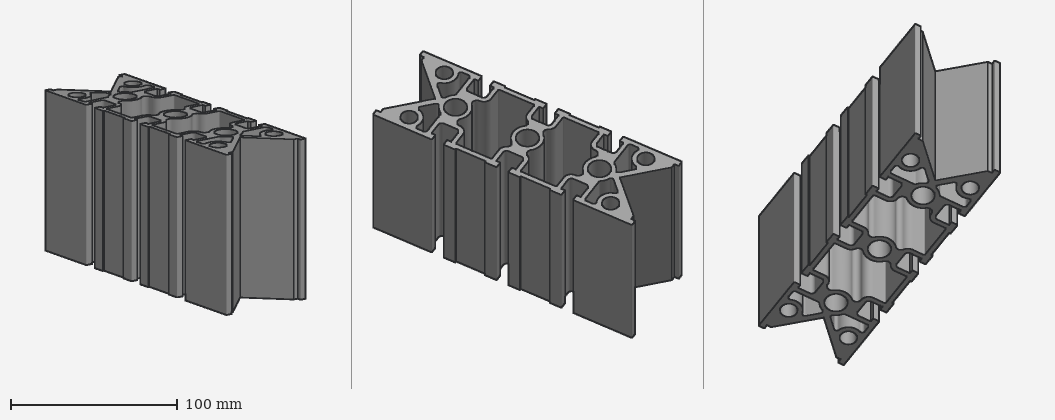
import cadquery as cq
import math

WIDTH = 180.0
HEIGHT = 60.0
LENGTH = 100.0
HALF_WIDTH = WIDTH / 2
HALF_HEIGHT = HEIGHT / 2

EDGE_RADIUS = 0.4

SLOT_PITCH = 45.0
SLOT_OPENING = 8.1
SLOT_INNER_WIDTH = 13.6
SLOT_DEPTH = 15.0
SLOT_FLOOR_RADIUS = 2.4
SLOT_BEND_RADIUS = 5.2
LIP_THICKNESS = 4.4
WALL = 3.2

RECESS_WIDTH = 20.6
RECESS_DEPTH = 1.0

CORE_BORE_DIAMETER = 14.0
CORE_BORE_X = 50.0
CORE_RING_RADIUS = 10.0
CORNER_BORE_DIAMETER = 10.52
CORNER_BORE_X = 70.0
CORNER_BORE_Y = 21.0
CORNER_RING_RADIUS = 8.5

NOTCH_APEX_X = 64.1
TAB_LENGTH = 3.0
TAB_THICKNESS = 4.1

CAVITY_CORNER_RADIUS = 0.8
CAVITY_BLEND_RADIUS = 3.1

POCKET_TOP_Y = 26.7
POCKET_NOTCH_WALL = 4.0
POCKET_RADIUS = 1.7

SLOT_FLOOR_Y = HALF_HEIGHT - SLOT_DEPTH
SLOT_WALL_OFFSET = SLOT_INNER_WIDTH / 2 + WALL
LIP_INNER_Y = HALF_HEIGHT - LIP_THICKNESS
SLOT_BEND_Y = SLOT_FLOOR_Y - WALL + SLOT_BEND_RADIUS


def block(x_min, x_max, y_min, y_max):
    """Full-length rectangular prism."""
    return (
        cq.Workplane("XY")
        .center((x_min + x_max) / 2, (y_min + y_max) / 2)
        .rect(x_max - x_min, y_max - y_min)
        .extrude(LENGTH)
    )


def cylinder(x, y, radius):
    """Full-length cylinder."""
    return cq.Workplane("XY").center(x, y).circle(radius).extrude(LENGTH)


def mirrored_over_x_axis(solid):
    """The solid together with its mirror image on the other side of Y = 0."""
    return solid.union(solid.mirror("XZ"))


def mirrored_over_y_axis(solid):
    """The solid together with its mirror image on the other side of X = 0."""
    return solid.union(solid.mirror("YZ"))


def body():
    """Rectangular bar that all other shapes are cut from."""
    return block(-HALF_WIDTH, HALF_WIDTH, -HALF_HEIGHT, HALF_HEIGHT)


def slot(x):
    """Pair of opposite T-slots with rounded floor corners."""
    half_inner = SLOT_INNER_WIDTH / 2
    half_opening = SLOT_OPENING / 2
    chamber = block(x - half_inner, x + half_inner, SLOT_FLOOR_Y, LIP_INNER_Y)
    chamber = chamber.edges("|Z and <Y").fillet(SLOT_FLOOR_RADIUS)
    opening = block(x - half_opening, x + half_opening, SLOT_FLOOR_Y, HALF_HEIGHT)
    return mirrored_over_x_axis(chamber.union(opening))


def recess():
    """Pair of shallow recesses on the outer faces, on the negative-X half."""
    x = -SLOT_PITCH / 2
    half_width = RECESS_WIDTH / 2
    cut = block(x - half_width, x + half_width, HALF_HEIGHT - RECESS_DEPTH, HALF_HEIGHT)
    return mirrored_over_x_axis(cut)


def end_notch():
    """V-notch with 45 degree flanks and square shoulders behind the corner tabs."""
    shoulder_x = -HALF_WIDTH + TAB_LENGTH
    shoulder_y = HALF_HEIGHT - TAB_THICKNESS
    flank_y = -NOTCH_APEX_X - shoulder_x
    upper = [(-HALF_WIDTH, shoulder_y), (shoulder_x, shoulder_y), (shoulder_x, flank_y)]
    lower = [(x, -y) for x, y in reversed(upper)]
    points = upper + [(-NOTCH_APEX_X, 0)] + lower
    return cq.Workplane("XY").polyline(points).close().extrude(LENGTH)


def point_toward(start, end, distance):
    """Point at the given distance from start on the ray through end."""
    scale = distance / math.dist(start, end)
    return (start[0] + (end[0] - start[0]) * scale, start[1] + (end[1] - start[1]) * scale)


def blend_center(ring, bend, side):
    """Center of the blend arc touching both the core ring and the slot bend.

    side is +1 for the center lying toward +X of the line of centers, -1 toward -X.
    """
    ring_reach = CORE_RING_RADIUS + CAVITY_BLEND_RADIUS
    bend_reach = SLOT_BEND_RADIUS + CAVITY_BLEND_RADIUS
    span = math.dist(ring, bend)
    along = (span**2 + ring_reach**2 - bend_reach**2) / (2 * span)
    across = math.sqrt(ring_reach**2 - along**2)
    foot = point_toward(ring, bend, along)
    unit_x = (bend[0] - ring[0]) / span
    unit_y = (bend[1] - ring[1]) / span
    return (foot[0] + side * across * unit_y, foot[1] - side * across * unit_x)


def cavity_flank(ring_x, wall_x, side):
    """Arcs of one upper cavity flank, as (start, middle, end) from wall down to Y = 0.

    side is +1 when the cavity lies toward +X of the flank, -1 when toward -X.
    """
    ring = (ring_x, 0.0)
    bend = (wall_x - side * SLOT_BEND_RADIUS, SLOT_BEND_Y)
    blend = blend_center(ring, bend, side)

    wall_end = (wall_x, SLOT_BEND_Y)
    bend_end = point_toward(bend, blend, SLOT_BEND_RADIUS)
    ring_start = point_toward(ring, blend, CORE_RING_RADIUS)
    ring_end = (ring_x + side * CORE_RING_RADIUS, 0.0)

    def arc_middle(center, radius, start, end):
        chord_middle = ((start[0] + end[0]) / 2, (start[1] + end[1]) / 2)
        return point_toward(center, chord_middle, radius)

    return [
        (wall_end, arc_middle(bend, SLOT_BEND_RADIUS, wall_end, bend_end), bend_end),
        (bend_end, arc_middle(blend, CAVITY_BLEND_RADIUS, bend_end, ring_start), ring_start),
        (ring_start, arc_middle(ring, CORE_RING_RADIUS, ring_start, ring_end), ring_end),
    ]


def cavity():
    """Cavity on the negative-X half, waisted around the core rings and slot bends."""
    left_x = -SLOT_PITCH + SLOT_WALL_OFFSET
    right_x = -SLOT_WALL_OFFSET
    left = cavity_flank(-CORE_BORE_X, left_x, 1)
    right = cavity_flank(0.0, right_x, -1)

    outline = cq.Workplane("XY").moveTo(right_x, LIP_INNER_Y).lineTo(left_x, LIP_INNER_Y)
    outline = outline.lineTo(*left[0][0])
    for _, middle, end in left:
        outline = outline.threePointArc(middle, end)
    outline = outline.lineTo(*right[-1][2])
    for start, middle, _ in reversed(right):
        outline = outline.threePointArc(middle, start)
    upper_half = outline.close().extrude(LENGTH)
    upper_half = upper_half.edges("|Z and >Y").fillet(CAVITY_CORNER_RADIUS)
    return mirrored_over_x_axis(upper_half)


def end_pocket():
    """Pair of pockets between the V-notch, corner bore, core bore and outer slot."""
    wall_x = -SLOT_PITCH - SLOT_WALL_OFFSET
    flank_x = -NOTCH_APEX_X + POCKET_NOTCH_WALL * math.sqrt(2)
    points = [
        (flank_x, 0),
        (wall_x, 0),
        (wall_x, POCKET_TOP_Y),
        (flank_x - POCKET_TOP_Y, POCKET_TOP_Y),
    ]
    pocket = cq.Workplane("XY").polyline(points).close().extrude(LENGTH)
    pocket = pocket.cut(cylinder(-CORE_BORE_X, 0, CORE_RING_RADIUS))
    pocket = pocket.cut(cylinder(-CORNER_BORE_X, CORNER_BORE_Y, CORNER_RING_RADIUS))
    beside_wall = cq.selectors.NearestToPointSelector((wall_x, SLOT_FLOOR_Y, LENGTH / 2))
    inner_piece = pocket.solids(beside_wall)
    pocket = cq.Workplane("XY").add(inner_piece.val())
    pocket = pocket.edges("|Z").fillet(POCKET_RADIUS)
    return mirrored_over_x_axis(pocket)


def bores():
    """All round bores along the profile."""
    cut = cylinder(0, 0, CORE_BORE_DIAMETER / 2)
    core = cylinder(-CORE_BORE_X, 0, CORE_BORE_DIAMETER / 2)
    corner = cylinder(-CORNER_BORE_X, CORNER_BORE_Y, CORNER_BORE_DIAMETER / 2)
    return cut.union(mirrored_over_y_axis(core.union(mirrored_over_x_axis(corner))))


def edge_seam(x, y):
    """Selector box around the full-length edge at (x, y)."""
    return cq.selectors.BoxSelector(
        (x - EDGE_RADIUS, y - EDGE_RADIUS, 0), (x + EDGE_RADIUS, y + EDGE_RADIUS, LENGTH)
    )


def soften_edges(profile):
    """Round the corner tabs and the outer edges of every slot opening."""
    tab_y = HALF_HEIGHT - TAB_THICKNESS
    corners = [(HALF_WIDTH, HALF_HEIGHT), (HALF_WIDTH, tab_y)]
    corners += [(SLOT_PITCH + side * SLOT_OPENING / 2, HALF_HEIGHT) for side in (-1, 1)]
    corners.append((SLOT_OPENING / 2, HALF_HEIGHT))
    for x, y in corners:
        for sign_x in (-1, 1):
            for sign_y in (-1, 1):
                seam = edge_seam(sign_x * x, sign_y * y)
                profile = profile.edges("|Z").edges(seam).fillet(EDGE_RADIUS)
    return profile


result = body()
for slot_x in (-SLOT_PITCH, 0.0, SLOT_PITCH):
    result = result.cut(slot(slot_x))
for half_cut in (recess(), end_notch(), cavity(), end_pocket()):
    result = result.cut(mirrored_over_y_axis(half_cut))
result = soften_edges(result.cut(bores()))